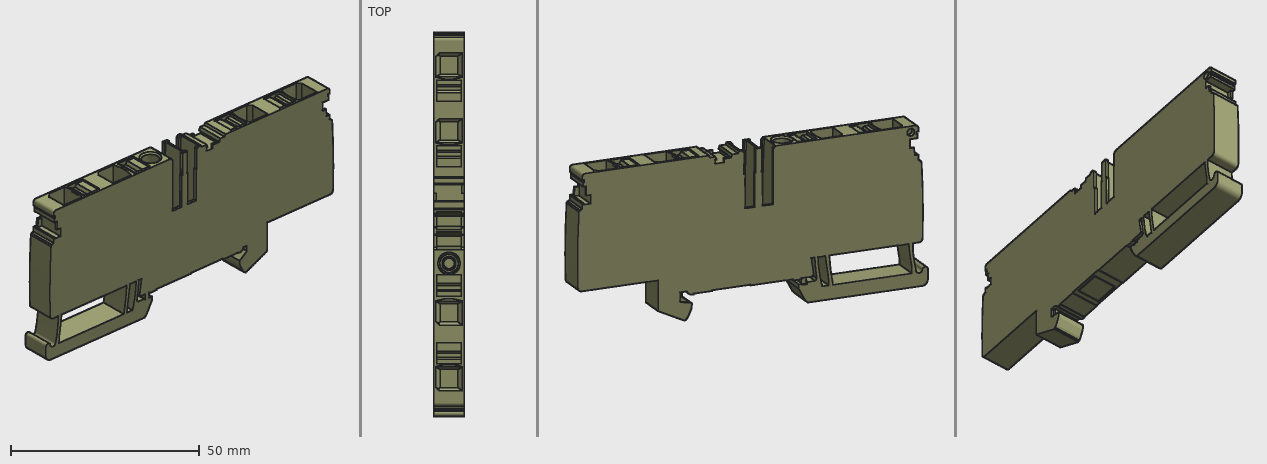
import cadquery as cq


width = 8.1
height = 45.2
half_width = width / 2
mirror_y = 0.7
half_length = 50.2
housing_base = 12.3
rail_seat = 7.1
skin = 0.7
overlap = 1.0


def across(points):
    """Prism with a (Y, Z) outline spanning the whole thickness."""
    return cq.Workplane("YZ").polyline(points).close().extrude(half_width, both=True)


def block(x0, x1, y0, y1, z0, z1):
    """Axis-aligned box given by its limits."""
    return cq.Workplane("XY").box(x1 - x0, y1 - y0, z1 - z0, centered=False).translate((x0, y0, z0))


def mirrored(solid):
    """Copy of a solid reflected to the other end of the housing."""
    return solid.mirror("XZ", (0, mirror_y, 0))


lip_reach = 48.8
lip_round = 0.9
groove_face = 47.6
groove_bottom = 36.8
groove_top = 41.5
bulge_top = (49.8, 34.7)
base_reach = 50.1
base_round = 1.1
bulge_height = 20.4


def half_housing():
    outline = (
        cq.Workplane("YZ")
        .moveTo(-overlap, height)
        .lineTo(lip_reach - lip_round, height)
        .radiusArc((lip_reach, height - lip_round), lip_round)
        .lineTo(lip_reach, 43.4)
        .lineTo(48.2, 43.4)
        .lineTo(48.2, 42.7)
        .lineTo(48.5, 42.7)
        .lineTo(48.5, groove_top)
        .lineTo(groove_face, groove_top)
        .lineTo(groove_face, 38.3)
        .lineTo(47.8, 37.6)
        .lineTo(47.8, groove_bottom)
        .lineTo(lip_reach, groove_bottom)
        .lineTo(lip_reach, 35.4)
        .lineTo(49.5, 35.1)
        .lineTo(*bulge_top)
        .threePointArc((half_length, bulge_height), (base_reach, housing_base + base_round))
        .radiusArc((base_reach - base_round, housing_base), base_round)
        .lineTo(-overlap, housing_base)
        .close()
    )
    return outline.extrude(half_width, both=True).translate((0, mirror_y, 0))


def housing():
    half = half_housing()
    return half.union(mirrored(half))


clip_back = 27.5
seat_end = -17.3
seat_relief = 7.3
foot_end = -50.9
foot_round = 1.7


def rail_clip():
    """Fixed hook on the +Y side together with the seat above the rail."""
    return across([
        (clip_back, housing_base + overlap), (clip_back, 3.7),
        (20.2, 0.1), (19.7, 0), (19.3, 0.2), (18.8, 0.8),
        (17.8, 3.0), (17.6, 4.5), (18.1, 4.8), (20.3, 6.4), (20.2, 8.0),
        (19.1, 8.0), (18.7, 7.4), (18.1, 6.9), (17.1, 6.9), (17.1, rail_seat),
        (11.8, rail_seat), (11.8, seat_relief), (0.6, seat_relief), (0.6, rail_seat),
        (-11.7, rail_seat), (-11.7, 6.8), (-14.2, 6.8), (-14.2, rail_seat),
        (seat_end, rail_seat), (seat_end - 0.4, 7.5), (seat_end + 0.3, housing_base),
        (seat_end + 0.3, housing_base + overlap),
    ])


def seat_pad():
    """Low pad in the seat recess, set back from both side faces."""
    return block(skin - half_width, half_width - skin, 3.1, 10.2, rail_seat, seat_relief + overlap)


def spring_foot():
    """Foot bar hung from the housing by three slanted legs."""
    outer = (
        cq.Workplane("YZ")
        .moveTo(-18.0, housing_base + overlap)
        .lineTo(-18.0, housing_base)
        .threePointArc((-18.2, 9.4), (-18.6, 6.4))
        .lineTo(-18.1, 5.8)
        .lineTo(-16.0, 5.8)
        .lineTo(-15.8, 5.5)
        .lineTo(-13.3, 5.5)
        .lineTo(-13.3, 4.3)
        .lineTo(-15.2, 0.8)
        .lineTo(-16.0, 0)
        .lineTo(foot_end + foot_round, 0)
        .radiusArc((foot_end, foot_round), foot_round)
        .lineTo(foot_end, 4.5)
        .threePointArc((-50.1, 5.3), (-49.3, 4.5))
        .threePointArc((-48.4, 3.8), (-47.4, 4.6))
        .threePointArc((-46.7, 8.5), (-46.5, housing_base))
        .lineTo(-46.5, housing_base + overlap)
        .close()
        .extrude(half_width, both=True)
    )
    window_floor = 4.0
    narrow_window = (
        cq.Workplane("YZ")
        .moveTo(-18.9, housing_base)
        .lineTo(-21.1, housing_base)
        .threePointArc((-21.6, 8.9), (-22.1, 5.1))
        .lineTo(-22.1, window_floor)
        .lineTo(-20.3, window_floor)
        .lineTo(-19.9, 4.9)
        .threePointArc((-19.2, 8.7), (-18.9, housing_base))
        .close()
        .extrude(half_width, both=True)
    )
    wide_window = (
        cq.Workplane("YZ")
        .moveTo(-22.3, housing_base)
        .lineTo(-45.3, housing_base)
        .threePointArc((-45.7, 8.9), (-46.2, 5.6))
        .lineTo(-46.2, window_floor)
        .lineTo(-23.3, window_floor)
        .lineTo(-23.2, 4.6)
        .threePointArc((-22.6, 8.7), (-22.3, housing_base))
        .close()
        .extrude(half_width, both=True)
    )
    return outer.cut(narrow_window).cut(wide_window)


link_start = -15.8
link_end = -14.3
link_bottom = 5.2


def foot_link_notch():
    """Side notch that keeps the foot link set back from the -X face."""
    return block(-half_width, skin - half_width, link_start, link_end, link_bottom, rail_seat)


def foot_link():
    """Short link between the seat and the tip of the foot."""
    return block(skin - half_width, half_width, link_start, link_end, link_bottom, rail_seat + overlap)


def clip_recess():
    """Shallow relief behind the hook in the -X face."""
    outline = [(21.1, 8.0), (21.1, 5.5), (20.7, 5.2), (18.1, 4.8), (20.3, 6.4), (20.2, 8.0)]
    return cq.Workplane("YZ", origin=(-half_width, 0, 0)).polyline(outline).close().extrude(skin)


groove_depth_face = 46.4
groove_rim_face = 48.3
groove_sill = 0.3
groove_split = 39.0
marker_top_edge = 10.9
marker_low_edge = 6.0
marker_split = 8.2
marker_step = 44.6
marker_rim = 43.7
marker_floor = 42.6


def end_grooves():
    y0 = mirror_y - groove_rim_face
    y1 = mirror_y - groove_depth_face
    upper = block(-half_width, half_width - skin, y0, y1, groove_split, groove_top)
    lower = block(skin - half_width, half_width, y0, y1, groove_bottom - groove_sill, groove_split)
    pair = upper.union(lower)
    opposite = pair.rotate((0, mirror_y, 0), (0, mirror_y, 1), 180)
    return pair.union(opposite)


def top_groove():
    steps = across([
        (4.0, height), (4.3, marker_step), (marker_low_edge, marker_step),
        (6.3, marker_rim), (10.5, marker_rim), (marker_top_edge, marker_step),
        (12.3, marker_step), (12.7, height),
    ])
    open_left = block(-half_width, half_width - skin, marker_split, marker_top_edge,
                      marker_floor, marker_rim)
    open_right = block(skin - half_width, half_width, marker_low_edge, marker_split,
                       marker_floor, marker_rim)
    return steps.union(open_left).union(open_right)


slot_floor = 28.9
slot_step = 38.5
bridge_floor = 20.4
bridge_half_width = 3.3
bridge_pockets = [
    ((3.5, -1.4), (2.1, -0.5)),
    ((-1.9, -6.6), (-3.2, -5.7)),
]


def bridge_slots():
    first = across([
        (3.1, height), (2.5, height - 0.5), (2.5, slot_step), (2.2, slot_step), (2.2, slot_floor),
        (-0.6, slot_floor), (-0.6, slot_step), (-0.8, slot_step), (-0.8, height),
    ])
    second = across([
        (-2.5, height), (-2.5, slot_step), (-2.8, slot_step), (-2.8, slot_floor),
        (-6.0, slot_floor), (-6.0, height - 0.7), (-6.6, height),
    ])
    return first.union(second)


def bridge_pocket(mouth, floor):
    """Pocket tapering in Y from its mouth limits to its floor limits."""
    outline = [(mouth[0], height), (mouth[1], height), (floor[1], bridge_floor), (floor[0], bridge_floor)]
    return cq.Workplane("YZ").polyline(outline).close().extrude(bridge_half_width, both=True)


contact_pitch = 17.4
contact_starts = [45.5 - contact_pitch * i for i in range(2)]
funnel_half_width = 3.6
funnel_length = 6.4
funnel_depth = 8.1
funnel_corner = 1.1
funnel_bow = 0.6
taper_depth = 1.0
floor_half_width = 2.3
floor_length = 4.8
floor_inset = 0.9


def wire_funnel(start):
    """Straight well with one bevelled corner and a bowed inner edge, tapered at its foot."""
    w = funnel_half_width
    inner = start - funnel_length
    mouth = (
        cq.Workplane("XY", origin=(0, 0, height - funnel_depth))
        .moveTo(-w, inner)
        .lineTo(-w, start - funnel_corner)
        .lineTo(-w + funnel_corner, start)
        .lineTo(w, start)
        .lineTo(w, inner)
        .threePointArc((0, inner - funnel_bow), (-w, inner))
        .close()
        .extrude(funnel_depth)
    )
    taper = (
        cq.Workplane("XY", origin=(0, start - funnel_length / 2, height - funnel_depth))
        .rect(2 * w, funnel_length)
        .workplane(offset=-taper_depth)
        .center(0, (funnel_length - floor_length) / 2 - floor_inset)
        .rect(2 * floor_half_width, floor_length)
        .loft()
    )
    taper_bevel = (
        cq.Workplane("XY", origin=(0, 0, height - funnel_depth))
        .polyline([(-w, start), (-w, start - funnel_corner), (-w + funnel_corner, start)])
        .close()
        .extrude(-taper_depth)
    )
    return mouth.union(taper.cut(taper_bevel))


release_half_width = 3.3
release_gap = 7.2
release_length = 5.6
deep_ledge = 0.8
shallow_ledge = 0.4
tool_groove_depth = 1.3
release_shift = 0.5


def release_pocket(start):
    """Pocket with a tool groove between a deep ledge by the funnel and a shallow one."""
    edge = start - release_gap
    profile = [
        (0, 0), (0, deep_ledge), (1.2, deep_ledge), (1.7, tool_groove_depth), (2.7, tool_groove_depth),
        (3.4, shallow_ledge), (release_length, shallow_ledge), (release_length, 0),
    ]
    outline = [(edge - distance, height - depth) for distance, depth in profile]
    return cq.Workplane("YZ").polyline(outline).close().extrude(release_half_width, both=True)


socket_y = -10.3
socket_radius = 2.4
socket_chamfer = 0.5
socket_depth = 6.1
pin_radius = 1.8
pin_depth = 12.2
pin_tip_radius = 1.4
pin_tip_depth = 13.2
dimple_place = (-45.9, 43.5)
dimple_radius = 1.0
dimple_depth = 1.5


def test_socket():
    top = cq.Workplane("XY", origin=(0, socket_y, height))
    bore = top.circle(socket_radius).extrude(-socket_depth)
    pin = top.circle(pin_radius).extrude(-pin_depth)
    tip = top.circle(pin_tip_radius).extrude(-pin_tip_depth)
    mouth = (
        top.circle(socket_radius + socket_chamfer)
        .workplane(offset=-socket_chamfer)
        .circle(socket_radius)
        .loft()
    )
    return bore.union(pin).union(tip).union(mouth)


def side_dimple():
    face = cq.Workplane("YZ", origin=(-half_width, *dimple_place))
    return face.circle(dimple_radius).extrude(dimple_depth)


result = housing().union(rail_clip()).union(seat_pad()).union(spring_foot())
result = result.cut(foot_link_notch()).union(foot_link()).cut(clip_recess())
result = result.cut(end_grooves()).cut(top_groove()).cut(bridge_slots())
for pocket_mouth, pocket_floor in bridge_pockets:
    result = result.cut(bridge_pocket(pocket_mouth, pocket_floor))
for contact_start in contact_starts:
    funnel = wire_funnel(contact_start)
    result = result.cut(funnel).cut(mirrored(funnel)).cut(release_pocket(contact_start))
result = result.cut(mirrored(release_pocket(contact_starts[0])))
result = result.cut(mirrored(release_pocket(contact_starts[1] - release_shift)))
result = result.cut(test_socket()).cut(side_dimple())